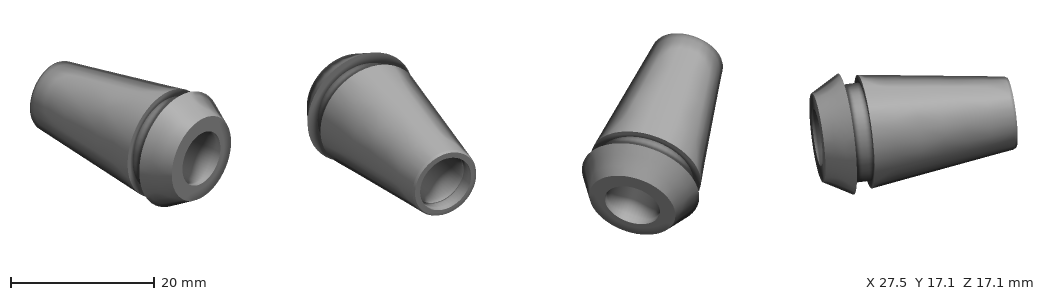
import cadquery as cq

length = 27.5
nose_chamfer_length = 0.35
nose_face_radius = 4.95
nose_radius = 5.15
body_length = 20.82
body_end_radius = 8.0
groove_width = 2.65
groove_radius = 6.9
collar_radius = 8.54
collar_end_radius = 6.27
bore_radius = 4.02
relief_radius = 4.12
relief_depth = 2.0

collar_start = body_length + groove_width

outer_profile = [
    (0, 0),
    (0, nose_face_radius),
    (nose_chamfer_length, nose_radius),
    (body_length, body_end_radius),
    (body_length, groove_radius),
    (collar_start, groove_radius),
    (collar_start, collar_radius),
    (length, collar_end_radius),
    (length, 0),
]


def bore(radius, depth):
    """Round hole along X, starting at the nose face."""
    return cq.Workplane("YZ").circle(radius).extrude(depth)


body = cq.Workplane("XY").polyline(outer_profile).close().revolve(360, (0, 0, 0), (1, 0, 0))

result = body.cut(bore(bore_radius, length)).cut(bore(relief_radius, relief_depth))